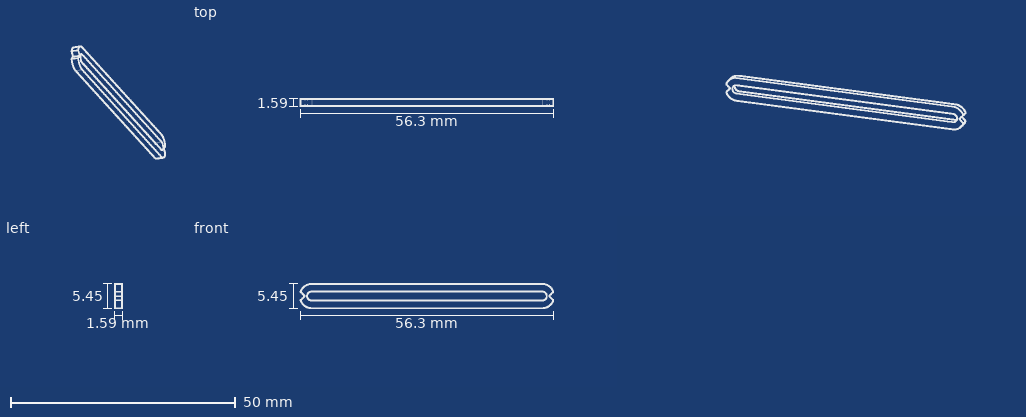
import cadquery as cq

length = 56.28
thickness = 1.59
height = 5.45

end_arc_run = 2.48
notch_half_height = 0.95
notch_depth = notch_half_height

slot_length = 53.3
slot_height = 1.95

half_length = length / 2
half_height = height / 2


def bar_quarter():
    """The +X, +Z quarter of the bar, centred on Y = 0, with half of an end notch."""
    arc_start = half_length - end_arc_run
    return (
        cq.Workplane("XZ")
        .lineTo(0, half_height)
        .lineTo(arc_start, half_height)
        .tangentArcPoint((half_length, notch_half_height), relative=False)
        .lineTo(half_length - notch_depth, 0)
        .close()
        .extrude(thickness / 2, both=True)
    )


def bar():
    """The whole bar, mirrored from its quarter."""
    upper_half = bar_quarter().mirror("YZ", union=True)
    return upper_half.mirror("XY", union=True).clean()


def slot():
    """The long slot along the middle of the bar, overshooting both faces."""
    return cq.Workplane("XZ").slot2D(slot_length, slot_height).extrude(thickness, both=True)


result = bar().cut(slot())